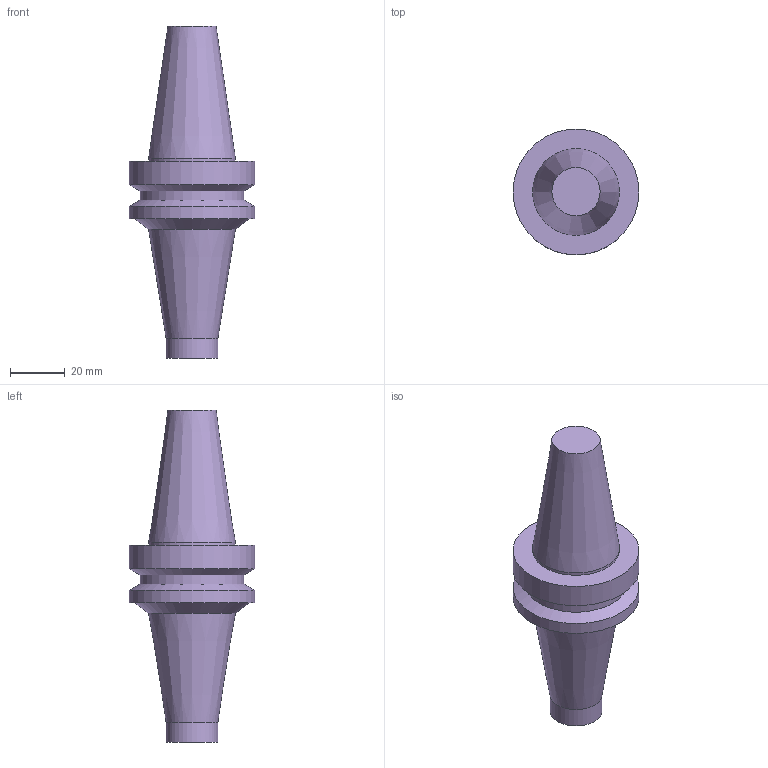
import cadquery as cq
import math


gauge_diameter = 31.75
taper_length = 48.4
taper_ratio = 7 / 24
taper_tip_diameter = gauge_diameter - taper_length * taper_ratio

flange_diameter = 46.0
flange_top_z = -1.0
flange_bottom_z = -22.0

groove_floor_diameter = 38.0
groove_center_z = -13.6
groove_mouth_width = 8.0
groove_included_angle = 60.0
groove_depth = (flange_diameter - groove_floor_diameter) / 2
groove_flank_height = groove_depth * math.tan(math.radians(groove_included_angle / 2))
groove_floor_width = groove_mouth_width - 2 * groove_flank_height

collar_top_diameter = 42.0
collar_height = 4.0
collar_bottom_z = flange_bottom_z - collar_height

nose_root_diameter = gauge_diameter
nose_tip_diameter = 19.0
nose_bottom_z = -73.0
nose_tip_length = 7.3
nose_tip_top_z = nose_bottom_z + nose_tip_length


def revolved(stations):
    """Solid of revolution about Z through (diameter, z) stations listed from top to bottom."""
    outline = [(diameter / 2, z) for diameter, z in stations]
    top_center = (0, stations[0][1])
    bottom_center = (0, stations[-1][1])
    profile = cq.Workplane("XZ").polyline([top_center] + outline + [bottom_center]).close()
    return profile.revolve(360, (0, 0, 0), (0, 1, 0))


def spindle_taper():
    return revolved([
        (taper_tip_diameter, taper_length),
        (gauge_diameter, 0),
        (gauge_diameter, flange_top_z),
    ])


def flange():
    return revolved([
        (flange_diameter, flange_top_z),
        (flange_diameter, groove_center_z + groove_mouth_width / 2),
        (groove_floor_diameter, groove_center_z + groove_floor_width / 2),
        (groove_floor_diameter, groove_center_z - groove_floor_width / 2),
        (flange_diameter, groove_center_z - groove_mouth_width / 2),
        (flange_diameter, flange_bottom_z),
    ])


def collar():
    return revolved([
        (collar_top_diameter, flange_bottom_z),
        (nose_root_diameter, collar_bottom_z),
    ])


def nose():
    return revolved([
        (nose_root_diameter, collar_bottom_z),
        (nose_tip_diameter, nose_tip_top_z),
        (nose_tip_diameter, nose_bottom_z),
    ])


result = spindle_taper().union(flange()).union(collar()).union(nose())